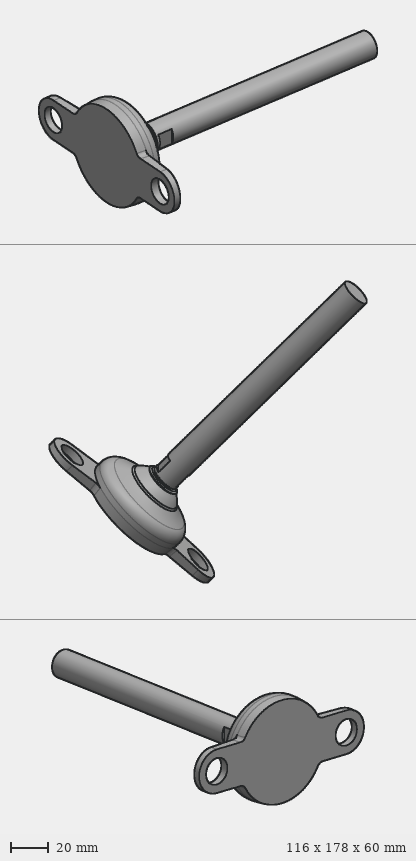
import cadquery as cq
import math

total_length = 178.0

pad_radius = 30.0
floor_radius = 29.4
taper_top = 5.9
rim_top = 9.3
shoulder_height = 15.7
shoulder_radius = 25.3
throat_height = 20.0
throat_radius = 16.2
shoulder_bulge = 1.2
flare_sag = 0.4

ear_radius = 12.5
ear_span = 116.0
ear_hole_radius = 7.5
ear_tip_height = 4.1
ear_slope = math.radians(3)
ear_root_fillet = 3.5

ball_radius = 19.2
ball_centre = 9.5
seat_height = 21.0
ball_top = 26.2
rim_height = 26.9
rim_radius = 10.1
collar_height = 27.6
collar_radius = 8.9
neck_radius = 7.0
shaft_start = 28.3
shaft_radius = 8.0

flats_width = 13.0
flats_start = 30.0
flats_end = 39.2

ear_centre = ear_span / 2 - ear_radius


def ball_radius_at(height):
    """Radius of the ball's circular section at a given height."""
    return math.sqrt(ball_radius**2 - (height - ball_centre) ** 2)


def chord_offset(start, end, offset):
    """Midpoint of a chord, pushed to the right of its direction (negative: left)."""
    run = end[0] - start[0]
    rise = end[1] - start[1]
    length = math.hypot(run, rise)
    middle_x = (start[0] + end[0]) / 2 + offset * rise / length
    middle_y = (start[1] + end[1]) / 2 - offset * run / length
    return (middle_x, middle_y)


def make_pad():
    """Round pad whose flat top carries the ball of the spindle."""
    rim = (pad_radius, rim_top)
    shoulder = (shoulder_radius, shoulder_height)
    throat = (throat_radius, throat_height)
    return (
        cq.Workplane("XY")
        .lineTo(floor_radius, 0)
        .lineTo(pad_radius, taper_top)
        .lineTo(*rim)
        .threePointArc(chord_offset(rim, shoulder, shoulder_bulge), shoulder)
        .threePointArc(chord_offset(shoulder, throat, -flare_sag), throat)
        .lineTo(ball_radius_at(seat_height), seat_height)
        .lineTo(0, seat_height)
        .close()
        .revolve(360, (0, 0, 0), (0, 1, 0))
    )


def near_ear_root(edge):
    """True for the four upright edges where an ear's side meets the pad."""
    centre = edge.Center()
    upright = edge.BoundingBox().ylen > taper_top / 2
    return upright and abs(centre.x) < pad_radius and abs(abs(centre.z) - ear_radius) < ear_root_fillet / 2


def make_flange():
    """Foot of the pad with both ears, filleted where they meet."""
    foot = (
        cq.Workplane("XY")
        .lineTo(floor_radius, 0)
        .lineTo(pad_radius, taper_top)
        .lineTo(0, taper_top)
        .close()
        .revolve(360, (0, 0, 0), (0, 1, 0))
    )
    ears = cq.Workplane("XZ").slot2D(ear_span, 2 * ear_radius).extrude(-taper_top)
    flange = foot.union(ears)
    root_edges = [edge for edge in flange.edges().vals() if near_ear_root(edge)]
    return flange.newObject(root_edges).fillet(ear_root_fillet)


def make_slope_cutter(side):
    """Wedge above the ear on one side; it slopes the ear down towards its tip."""
    tip = side * ear_span / 2
    slope_start = tip - side * (taper_top - ear_tip_height) / math.tan(ear_slope)
    return (
        cq.Workplane("XY")
        .moveTo(slope_start, taper_top)
        .lineTo(tip, ear_tip_height)
        .lineTo(tip, taper_top)
        .close()
        .extrude(pad_radius, both=True)
    )


def make_base():
    """Pad and flange, with a mounting hole through each ear."""
    flange = make_flange()
    for side in (-1, 1):
        flange = flange.cut(make_slope_cutter(side))
    for side in (-1, 1):
        hole = cq.Workplane("XZ").center(side * ear_centre, 0).circle(ear_hole_radius).extrude(-taper_top)
        flange = flange.cut(hole)
    return flange.union(make_pad())


def make_spindle():
    """Turned spindle that stands on the pad by its ball."""
    middle_height = (seat_height + ball_top) / 2
    body = (
        cq.Workplane("XY")
        .moveTo(0, seat_height)
        .lineTo(ball_radius_at(seat_height), seat_height)
        .threePointArc(
            (ball_radius_at(middle_height), middle_height),
            (ball_radius_at(ball_top), ball_top),
        )
        .lineTo(rim_radius, rim_height)
        .lineTo(collar_radius, collar_height)
        .lineTo(neck_radius, collar_height)
        .lineTo(neck_radius, shaft_start)
        .lineTo(shaft_radius, shaft_start)
        .lineTo(shaft_radius, total_length)
        .lineTo(0, total_length)
        .close()
        .revolve(360, (0, 0, 0), (0, 1, 0))
    )
    return cut_wrench_flats(body)


def cut_wrench_flats(body):
    """Two parallel flats, facing -X and +X, near the foot of the shaft."""
    flat_centre = (flats_start + flats_end) / 2
    for side in (-1, 1):
        cutter = cq.Workplane("XY").box(shaft_radius, flats_end - flats_start, 2 * shaft_radius)
        offset = side * (flats_width + shaft_radius) / 2
        body = body.cut(cutter.translate((offset, flat_centre, 0)))
    return body


base = make_base().solids()
spindle = make_spindle().solids()

result = cq.Compound.makeCompound([base.val(), spindle.val()])